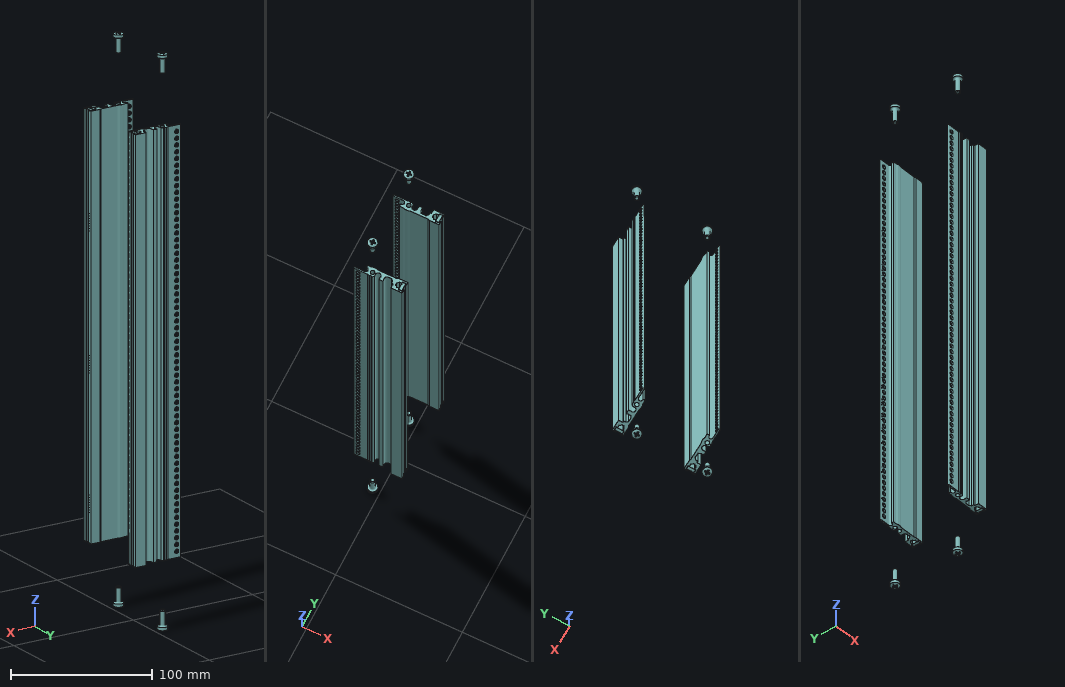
import cadquery as cq
import math

TOTAL_HEIGHT = 433.2
RAILS_GAP = 50.0
RAIL_LENGTH = 325.0
RAIL_MIDDLE_Z = -1.1

RAIL_WIDTH = 39.5
LEFT_X = -RAIL_WIDTH / 2
RIGHT_X = RAIL_WIDTH / 2
INNER_FACE_Y = RAILS_GAP / 2

WEB_RECESS = 0.48
WEB_THICKNESS = 1.95
TAB_REACH = 8.0
WEB_LEFT_X = LEFT_X + TAB_REACH
WEB_INNER_Y = INNER_FACE_Y + WEB_RECESS
WEB_OUTER_Y = WEB_INNER_Y + WEB_THICKNESS

GROOVE_WIDTH = 3.15
GROOVE_MOUTH_X = -11.3

SCREW_AXIS_X = -6.0
SCREW_AXIS_Y = WEB_OUTER_Y + GROOVE_WIDTH / 2
SCREW_HOLE_DIAMETER = 3.2

TAB_THICKNESS = 1.5
TAB_INNER_Y = WEB_OUTER_Y + GROOVE_WIDTH
TAB_OUTER_Y = TAB_INNER_Y + TAB_THICKNESS

BOSS_LEFT_X = -8.5
BOSS_RIGHT_X = -3.5
BOSS_CHAMFER = 1.5
BOSS_RISE = 0.5
BOSS_OUTER_Y = TAB_OUTER_Y + BOSS_RISE
BOSS_NOTCH_WIDTH = 1.7
BOSS_NOTCH_DEPTH = 0.5

BUMP_WIDTH = 5.5
BUMP_TOP_WIDTH = 2.0

RIB_LEFT_X = 0.5
RIB_THICKNESS = 3.0
RIB_RIGHT_X = RIB_LEFT_X + RIB_THICKNESS
RIB_FILLET = 1.95

JAW_LEFT_X = 11.0
JAW_OVERHANG = 2.12
JAW_STEP = 1.5
JAW_STEP_Y = TAB_INNER_Y
OUTER_FACE_Y = TAB_OUTER_Y + JAW_OVERHANG

SLOT_MIDDLE_Y = (OUTER_FACE_Y + INNER_FACE_Y) / 2
MOUTH_WIDTH = 3.5
LIP_THICKNESS = 1.0
STRIP_THICKNESS = 2.5
STRIP_WIDTH = 6.0
STRIP_CLEARANCE = 0.5
TRENCH_WIDTH = 4.5
TRENCH_DEPTH = 3.5
TRENCH_CHAMFER = 1.5

TAB_HOLE_COUNT = 63
TAB_HOLE_SPAN = 315.0
TAB_HOLE_PITCH = TAB_HOLE_SPAN / (TAB_HOLE_COUNT - 1)
TAB_HOLE_DIAMETER = 3.15
TAB_HOLE_INSET = 3.5
TAB_HOLE_X = LEFT_X + TAB_HOLE_INSET

SHANK_DIAMETER = 4.0
SHANK_LENGTH = 12.0
SHANK_CHAMFER = 0.65
NECK_FILLET = 1.1
SCREW_HEAD_DIAMETER = 8.0
SCREW_HEAD_RIM = 2.45
SCREW_HEAD_DOME = 0.75
SCREW_HEAD_HEIGHT = SCREW_HEAD_RIM + SCREW_HEAD_DOME
CROWN_DIAMETER = 2.5
RECESS_LENGTH = 4.0
RECESS_WIDTH = 1.0
RECESS_DEPTH = 1.7
SCREW_TOP_Z = TOTAL_HEIGHT / 2
FRONT_UPPER_DROP = 2.0
FRONT_LOWER_RISE = 0.2


def rail_section():
    """Closed outline of the rear rail in the XY plane."""
    tab_round_x = LEFT_X + TAB_THICKNESS / 2
    groove_radius = GROOVE_WIDTH / 2
    diagonal = RIB_FILLET * math.sqrt(0.5)
    fillet_y = WEB_OUTER_Y + RIB_FILLET
    valley_x = (BOSS_RIGHT_X + RIB_LEFT_X) / 2
    valley_radius = (RIB_LEFT_X - BOSS_RIGHT_X) / 2
    return (
        cq.Workplane("XY")
        .moveTo(tab_round_x, TAB_INNER_Y)
        .lineTo(GROOVE_MOUTH_X, TAB_INNER_Y)
        .threePointArc((GROOVE_MOUTH_X + groove_radius, SCREW_AXIS_Y), (GROOVE_MOUTH_X, WEB_OUTER_Y))
        .lineTo(WEB_LEFT_X, WEB_OUTER_Y)
        .lineTo(WEB_LEFT_X, WEB_INNER_Y)
        .lineTo(SCREW_AXIS_X - BUMP_WIDTH / 2, WEB_INNER_Y)
        .lineTo(SCREW_AXIS_X - BUMP_TOP_WIDTH / 2, INNER_FACE_Y)
        .lineTo(SCREW_AXIS_X + BUMP_TOP_WIDTH / 2, INNER_FACE_Y)
        .lineTo(SCREW_AXIS_X + BUMP_WIDTH / 2, WEB_INNER_Y)
        .lineTo(JAW_LEFT_X, WEB_INNER_Y)
        .lineTo(JAW_LEFT_X + JAW_STEP, INNER_FACE_Y)
        .lineTo(RIGHT_X, INNER_FACE_Y)
        .lineTo(RIGHT_X, OUTER_FACE_Y)
        .lineTo(JAW_LEFT_X, OUTER_FACE_Y)
        .lineTo(JAW_LEFT_X, JAW_STEP_Y)
        .lineTo(JAW_LEFT_X - JAW_STEP, JAW_STEP_Y)
        .lineTo(JAW_LEFT_X - JAW_STEP, WEB_OUTER_Y + JAW_STEP)
        .lineTo(JAW_LEFT_X - 2 * JAW_STEP, WEB_OUTER_Y)
        .lineTo(RIB_RIGHT_X + RIB_FILLET, WEB_OUTER_Y)
        .threePointArc(
            (RIB_RIGHT_X + RIB_FILLET - diagonal, fillet_y - diagonal), (RIB_RIGHT_X, fillet_y)
        )
        .lineTo(RIB_RIGHT_X, TAB_OUTER_Y)
        .lineTo(RIB_LEFT_X, TAB_OUTER_Y)
        .lineTo(RIB_LEFT_X, WEB_OUTER_Y + valley_radius)
        .threePointArc((valley_x, WEB_OUTER_Y), (BOSS_RIGHT_X, WEB_OUTER_Y + valley_radius))
        .lineTo(BOSS_RIGHT_X, BOSS_OUTER_Y - BOSS_CHAMFER)
        .lineTo(BOSS_RIGHT_X - BOSS_CHAMFER, BOSS_OUTER_Y)
        .lineTo(SCREW_AXIS_X + BOSS_NOTCH_WIDTH / 2, BOSS_OUTER_Y)
        .lineTo(SCREW_AXIS_X, BOSS_OUTER_Y - BOSS_NOTCH_DEPTH)
        .lineTo(SCREW_AXIS_X - BOSS_NOTCH_WIDTH / 2, BOSS_OUTER_Y)
        .lineTo(BOSS_LEFT_X + BOSS_CHAMFER, BOSS_OUTER_Y)
        .lineTo(BOSS_LEFT_X, TAB_OUTER_Y)
        .lineTo(tab_round_x, TAB_OUTER_Y)
        .threePointArc((LEFT_X, TAB_INNER_Y + TAB_THICKNESS / 2), (tab_round_x, TAB_INNER_Y))
        .close()
    )


def bar(left_x, right_x, width):
    """Bar as long as the rail, centred on the slot."""
    return (
        cq.Workplane("XY")
        .box(right_x - left_x, width, RAIL_LENGTH)
        .translate(((left_x + right_x) / 2, SLOT_MIDDLE_Y, RAIL_MIDDLE_Z))
    )


def strip_slot():
    """Mouth, strip seat and chamfered trench behind it, open to +X along the whole rail."""
    seat_right_x = RIGHT_X - LIP_THICKNESS
    seat_left_x = seat_right_x - STRIP_THICKNESS
    mouth = bar(seat_right_x, RIGHT_X, MOUTH_WIDTH)
    seat = bar(seat_left_x, seat_right_x, STRIP_WIDTH + STRIP_CLEARANCE)
    trench = bar(seat_left_x - TRENCH_DEPTH, seat_left_x, TRENCH_WIDTH)
    return mouth.union(seat).union(trench.edges("|Z and <X").chamfer(TRENCH_CHAMFER))


def screw_hole():
    """Round hole along the whole rail, in line with the screws."""
    return (
        cq.Workplane("XY", origin=(SCREW_AXIS_X, SCREW_AXIS_Y, RAIL_MIDDLE_Z))
        .circle(SCREW_HOLE_DIAMETER / 2)
        .extrude(RAIL_LENGTH / 2, both=True)
    )


def tab_holes():
    """Row of round holes through the tab."""
    return (
        cq.Workplane("XZ", origin=(TAB_HOLE_X, TAB_OUTER_Y, RAIL_MIDDLE_Z))
        .rarray(4.5, TAB_HOLE_PITCH, 1, TAB_HOLE_COUNT)
        .circle(TAB_HOLE_DIAMETER / 2)
        .extrude(TAB_THICKNESS)
    )


def make_rail():
    """Rear rail."""
    body = rail_section().extrude(RAIL_LENGTH).translate((0, 0, RAIL_MIDDLE_Z - RAIL_LENGTH / 2))
    return body.cut(strip_slot()).cut(screw_hole()).cut(tab_holes())


def make_strip():
    """Flat strip that lies in the seat of the rear rail."""
    right_x = RIGHT_X - LIP_THICKNESS
    return bar(right_x - STRIP_THICKNESS, right_x, STRIP_WIDTH)


def make_screw():
    """Screw on the Z axis, top of its domed head at the origin and shank pointing down."""
    shank_radius = SHANK_DIAMETER / 2
    head_radius = SCREW_HEAD_DIAMETER / 2
    tip_z = -SCREW_HEAD_HEIGHT - SHANK_LENGTH
    crown_radius = CROWN_DIAMETER / 2
    dome_span = head_radius - crown_radius
    dome_radius = (dome_span**2 + SCREW_HEAD_DOME**2) / (2 * SCREW_HEAD_DOME)
    dome_middle_x = crown_radius + dome_span / 2
    dome_middle_z = math.sqrt(dome_radius**2 - (dome_span / 2) ** 2) - dome_radius
    diagonal = NECK_FILLET * math.sqrt(0.5)
    neck_x = shank_radius + NECK_FILLET
    neck_z = -SCREW_HEAD_HEIGHT - NECK_FILLET
    body = (
        cq.Workplane("XZ")
        .moveTo(0, tip_z)
        .lineTo(shank_radius - SHANK_CHAMFER, tip_z)
        .lineTo(shank_radius, tip_z + SHANK_CHAMFER)
        .lineTo(shank_radius, neck_z)
        .threePointArc((neck_x - diagonal, neck_z + diagonal), (neck_x, -SCREW_HEAD_HEIGHT))
        .lineTo(head_radius, -SCREW_HEAD_HEIGHT)
        .lineTo(head_radius, -SCREW_HEAD_DOME)
        .threePointArc((dome_middle_x, dome_middle_z), (crown_radius, 0))
        .lineTo(0, 0)
        .close()
        .revolve(360, (0, 0, 0), (0, 1, 0))
    )
    recess_arm = cq.Workplane("XY").rect(RECESS_LENGTH, RECESS_WIDTH).extrude(-RECESS_DEPTH)
    return body.cut(recess_arm).cut(recess_arm.rotate((0, 0, 0), (0, 0, 1), 90))


rear_rail = make_rail()
rear_strip = make_strip()
rails = [rear_rail, rear_rail.mirror("XZ")]
strips = [rear_strip, rear_strip.mirror("XZ")]

screw_places = [
    (SCREW_AXIS_Y, SCREW_TOP_Z, False),
    (SCREW_AXIS_Y, -SCREW_TOP_Z, True),
    (-SCREW_AXIS_Y, SCREW_TOP_Z - FRONT_UPPER_DROP, False),
    (-SCREW_AXIS_Y, -SCREW_TOP_Z + FRONT_LOWER_RISE, True),
]
screws = []
for axis_y, head_z, points_up in screw_places:
    screw = make_screw()
    if points_up:
        screw = screw.rotate((0, 0, 0), (1, 0, 0), 180)
    screws.append(screw.translate((SCREW_AXIS_X, axis_y, head_z)))

bodies = rails + strips + screws
result = cq.Compound.makeCompound([body.solids().val() for body in bodies])